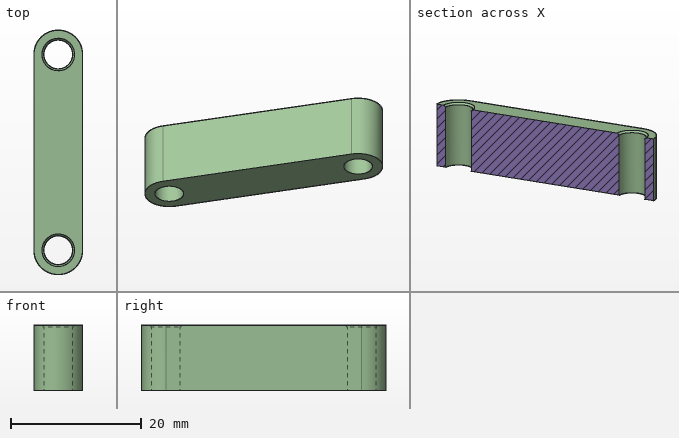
import cadquery as cq

length = 37.5
width = 7.5
height = 10.0
hole_diameter = 4.4
hole_mouth_diameter = 5.0

hole_spacing = length - width
hole_centers = [(0, -hole_spacing / 2), (0, hole_spacing / 2)]
chamfer = (hole_mouth_diameter - hole_diameter) / 2

body = cq.Workplane("XY").slot2D(length, width, angle=90).extrude(height)

drilled = body.faces(">Z").workplane(origin=(0, 0, height)).pushPoints(hole_centers).hole(hole_diameter)

hole_mouths = drilled.faces(">Z").edges(cq.selectors.RadiusNthSelector(0))
result = hole_mouths.chamfer(chamfer)